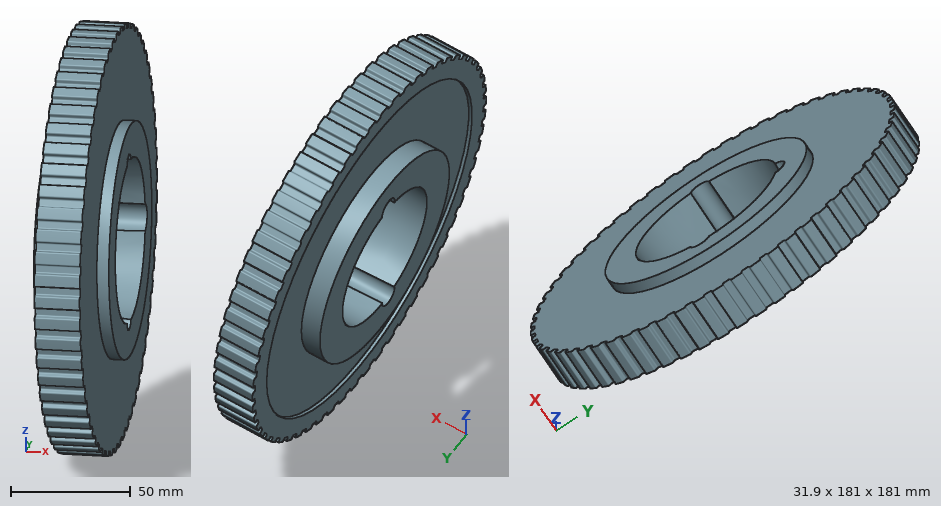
import cadquery as cq
import math

outer_diameter = 181.0
hub_length = 31.9
hub_diameter = 100.1

rim_start = 7.6
rim_width = 19.2

recess_diameter = 159.0
recess_depth = 1.6

tooth_count = 60
tooth_pitch_angle = 360.0 / tooth_count
groove_depth = 2.0
groove_floor_width = 3.5
groove_top_width = 4.2
groove_rounding = 0.63
first_groove_angle = 1.5

bore_small_diameter = 65.3
bore_half_angle = 4.0

notch_radius = 4.7
notch_offset_y = -2.9
notch_offset_z = 33.3

blind_notch_radius = 6.0
blind_notch_offset = 33.1
blind_notch_depth = 17.0


def disc(start, length, diameter):
    """Solid disc on the X axis."""
    return cq.Workplane("YZ").workplane(offset=start).circle(diameter / 2).extrude(length)


def notch(start, length, radius, y, z):
    """Round cutter parallel to the X axis."""
    return cq.Workplane("YZ").workplane(offset=start).center(y, z).circle(radius).extrude(length)


def on_rim(radius, angle):
    """Point (y, z) at a radius and an angle in degrees, from +Z towards +Y."""
    turn = math.radians(angle)
    return radius * math.sin(turn), radius * math.cos(turn)


def toothed_rim():
    """Disc with straight-sided grooves, rounded at the floors and the tooth tips."""
    outer_radius = outer_diameter / 2
    floor_radius = outer_radius - groove_depth
    half_top_angle = math.degrees(math.asin(groove_top_width / 2 / outer_radius))
    half_floor_angle = math.degrees(math.asin(groove_floor_width / 2 / floor_radius))

    outline = cq.Workplane("YZ").workplane(offset=rim_start)
    outline = outline.moveTo(*on_rim(outer_radius, first_groove_angle - half_top_angle))
    for index in range(tooth_count):
        groove_angle = first_groove_angle + index * tooth_pitch_angle
        tooth_angle = groove_angle + tooth_pitch_angle / 2
        next_groove_angle = groove_angle + tooth_pitch_angle
        outline = (
            outline.lineTo(*on_rim(floor_radius, groove_angle - half_floor_angle))
            .lineTo(*on_rim(floor_radius, groove_angle + half_floor_angle))
            .lineTo(*on_rim(outer_radius, groove_angle + half_top_angle))
            .threePointArc(
                on_rim(outer_radius, tooth_angle),
                on_rim(outer_radius, next_groove_angle - half_top_angle),
            )
        )
    return outline.close().extrude(rim_width).edges("|X").fillet(groove_rounding)


def tapered_bore():
    """Conical cutter for the bore."""
    small_radius = bore_small_diameter / 2
    large_radius = small_radius + hub_length * math.tan(math.radians(bore_half_angle))
    return (
        cq.Workplane("XY")
        .polyline([(0, 0), (0, small_radius), (hub_length, large_radius), (hub_length, 0)])
        .close()
        .revolve(360, (0, 0, 0), (1, 0, 0))
    )


rim = toothed_rim()
rim = rim.cut(disc(rim_start, recess_depth, recess_diameter))

body = rim.union(disc(0, hub_length, hub_diameter)).cut(tapered_bore())
for side in (1, -1):
    body = body.cut(notch(0, hub_length, notch_radius, notch_offset_y, side * notch_offset_z))
blind_notch_start = hub_length - blind_notch_depth
body = body.cut(notch(blind_notch_start, blind_notch_depth, blind_notch_radius, blind_notch_offset, 0))

result = body